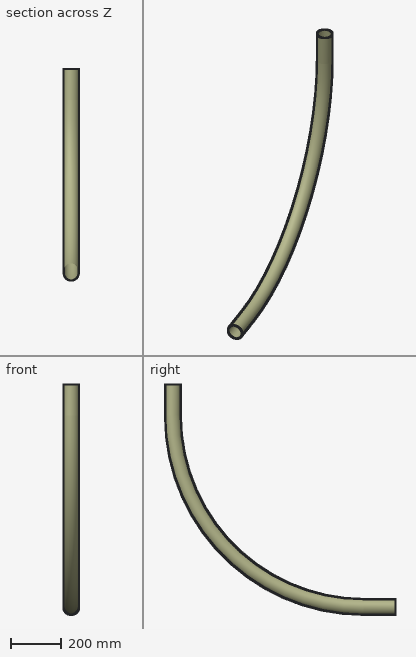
import cadquery as cq

overall = 921.0
outer_diameter = 63.5
inner_diameter = 59.0
straight_length = 126.0

low = -overall / 2 + outer_diameter / 2
high = overall / 2
bend_radius = high - low - straight_length
bend_centre = low + bend_radius


def swept_rod(diameter):
    """Solid rod: vertical leg, 90 degree bend, then horizontal leg toward +Y."""
    vertical_leg = (
        cq.Workplane("XY", origin=(0, low, bend_centre))
        .circle(diameter / 2)
        .extrude(straight_length)
    )
    bend = (
        cq.Workplane("XY", origin=(0, low, bend_centre))
        .circle(diameter / 2)
        .revolve(90, (0, bend_radius, 0), (1, bend_radius, 0))
    )
    horizontal_leg = (
        cq.Workplane("XZ", origin=(0, high, low))
        .circle(diameter / 2)
        .extrude(straight_length)
    )
    return vertical_leg.union(bend).union(horizontal_leg)


result = swept_rod(outer_diameter).cut(swept_rod(inner_diameter))